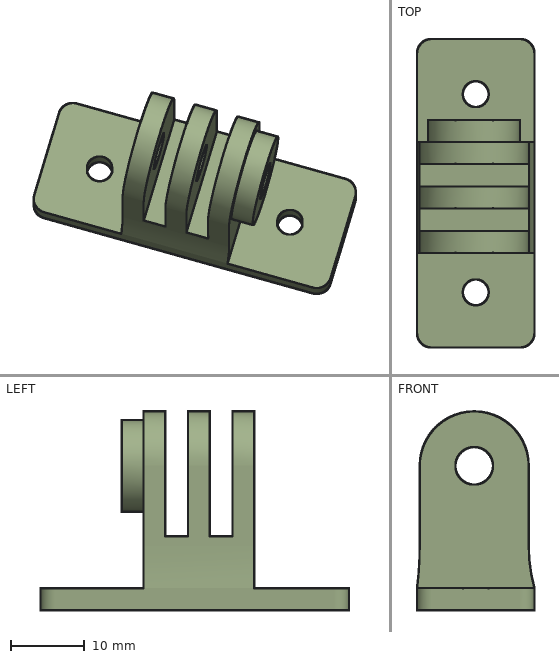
import cadquery as cq

BASE_LENGTH = 42.0
BASE_WIDTH = 16.0
BASE_THICKNESS = 3.02
CORNER_RADIUS = 1.97
SCREW_HOLE_DIAMETER = 3.5
SCREW_HOLE_SPACING = 26.95

MOUNT_HEIGHT = 27.1
MOUNT_WIDTH = 14.85
MOUNT_X = -0.2
MOUNT_FRONT_Y = -8.1
FLARE_TOP_Z = 8.75
PRONG_COUNT = 3
PRONG_THICKNESS = 3.0
PRONG_PITCH = 6.05
SLOT_FLOOR_Z = 10.1

PIVOT_DIAMETER = 5.1
BOSS_DIAMETER = 12.5
BOSS_LENGTH = 3.0

mount_radius = MOUNT_WIDTH / 2
pivot_z = MOUNT_HEIGHT - mount_radius
mount_depth = (PRONG_COUNT - 1) * PRONG_PITCH + PRONG_THICKNESS
mount_back_y = MOUNT_FRONT_Y + mount_depth
slot_width = PRONG_PITCH - PRONG_THICKNESS


def cylinder_along_y(diameter, start_y, length):
    """Cylinder on the pivot axis, running from start_y towards +Y."""
    axis_start = cq.Vector(MOUNT_X, start_y, pivot_z)
    return cq.Workplane(
        cq.Solid.makeCylinder(diameter / 2, length, axis_start, cq.Vector(0, 1, 0))
    )


def make_base():
    base = cq.Workplane("XY").box(
        BASE_WIDTH, BASE_LENGTH, BASE_THICKNESS, centered=(True, True, False)
    )
    base = base.edges("|Z").fillet(CORNER_RADIUS)
    hole_y = SCREW_HOLE_SPACING / 2
    return (
        base.faces(">Z")
        .workplane()
        .pushPoints([(0, -hole_y), (0, hole_y)])
        .hole(SCREW_HOLE_DIAMETER)
    )


def flare_midpoint(side_x, foot_x):
    """Middle point of the flare arc, which leaves the upright side tangentially."""
    rise = FLARE_TOP_Z - BASE_THICKNESS
    spread = abs(foot_x - side_x)
    radius = (rise**2 + spread**2) / (2 * spread)
    half_rise = rise / 2
    offset = radius - (radius**2 - half_rise**2) ** 0.5
    direction = 1 if foot_x > side_x else -1
    return (side_x + direction * offset, FLARE_TOP_Z - half_rise)


def make_mount():
    """Round-topped upright whose sides flare out to the edges of the plate."""
    left_x = MOUNT_X - mount_radius
    right_x = MOUNT_X + mount_radius
    foot_x = BASE_WIDTH / 2
    mount = (
        cq.Workplane("XZ", origin=(0, mount_back_y, 0))
        .moveTo(-foot_x, BASE_THICKNESS)
        .threePointArc(flare_midpoint(left_x, -foot_x), (left_x, FLARE_TOP_Z))
        .lineTo(left_x, pivot_z)
        .threePointArc((MOUNT_X, MOUNT_HEIGHT), (right_x, pivot_z))
        .lineTo(right_x, FLARE_TOP_Z)
        .threePointArc(flare_midpoint(right_x, foot_x), (foot_x, BASE_THICKNESS))
        .close()
        .extrude(mount_depth)
    )
    slot_height = MOUNT_HEIGHT - SLOT_FLOOR_Z
    for index in range(PRONG_COUNT - 1):
        slot_y = MOUNT_FRONT_Y + PRONG_THICKNESS + index * PRONG_PITCH
        slot = cq.Workplane("XY", origin=(MOUNT_X, slot_y, SLOT_FLOOR_Z)).box(
            MOUNT_WIDTH, slot_width, slot_height, centered=(True, False, False)
        )
        mount = mount.cut(slot)
    return mount


boss = cylinder_along_y(BOSS_DIAMETER, mount_back_y, BOSS_LENGTH)
pivot_hole = cylinder_along_y(PIVOT_DIAMETER, MOUNT_FRONT_Y, mount_depth + BOSS_LENGTH)

result = make_base().union(make_mount()).union(boss).cut(pivot_hole)